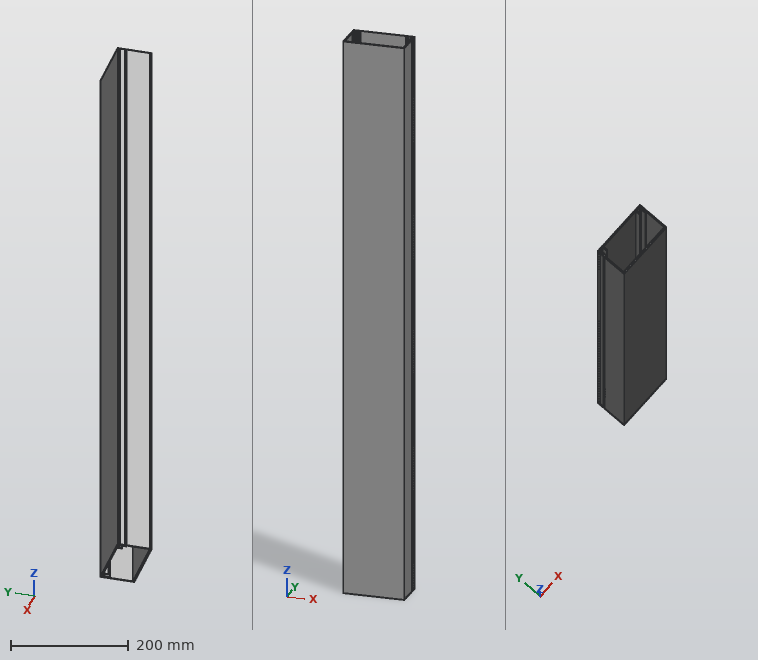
import cadquery as cq

width = 109.0
depth = 60.0
length = 1000.0

wall = 2.0
floor = 3.0
lip_thickness = 3.0
lip_root = 1.0
lip_gap = 3.0
barb = 2.0
barb_depth = 2.0

plate = 2.0
skirt = 1.5
skirt_depth = 13.0
seam = 2.0
leg_inset = 11.0
leg_thickness = 2.0
leg_depth = 11.0

half_width = width / 2
front = -depth / 2
back = depth / 2
skirt_end = back - skirt_depth
ledge = skirt_end - seam
lip_top = back - plate - lip_gap
lip_inner = half_width - skirt - lip_thickness
leg_outer = half_width - leg_inset
leg_inner = leg_outer - leg_thickness


def extrude_symmetric(half_outline):
    """Mirror an outline that runs from axis to axis, and extrude it along Z."""
    profile = cq.Workplane("XY").polyline(half_outline).mirrorY()
    return profile.extrude(length).translate((0, 0, -length / 2))


def make_channel():
    """U-shaped base whose side walls step inward to form the snap lips."""
    return extrude_symmetric([
        (0, front),
        (half_width, front),
        (half_width, ledge),
        (half_width - skirt, ledge),
        (half_width - skirt, lip_top),
        (lip_inner - barb, lip_top),
        (lip_inner, lip_top - barb_depth),
        (lip_inner, ledge - lip_root),
        (half_width - wall, ledge - lip_root),
        (half_width - wall, front + floor),
        (0, front + floor),
    ])


def make_lid():
    """Flat cover with a flush outer skirt and an inner leg along each side."""
    return extrude_symmetric([
        (0, back),
        (half_width, back),
        (half_width, skirt_end),
        (half_width - skirt, skirt_end),
        (half_width - skirt, back - plate),
        (leg_outer, back - plate),
        (leg_outer, back - leg_depth),
        (leg_inner, back - leg_depth),
        (leg_inner, back - plate),
        (0, back - plate),
    ])


channel = make_channel()
lid = make_lid()
result = cq.Compound.makeCompound([channel.val(), lid.val()])